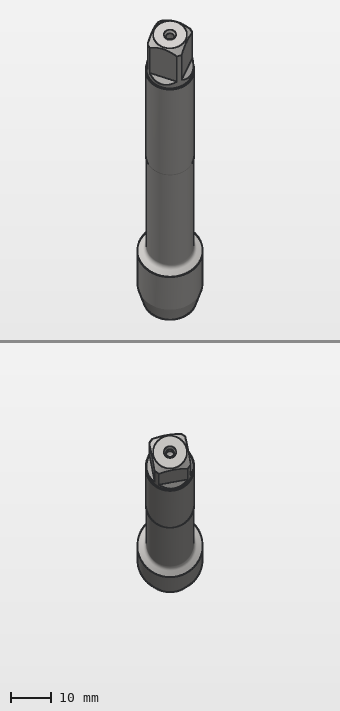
import cadquery as cq
import math

total_length = 110.0

head_diameter = 16.04
head_length = 20.0
lead_length = 6.5
lead_end_diameter = 13.3
tip_chamfer = 0.4

shank_diameter = 12.0
neck_diameter = 11.7
drive_diameter = 11.52
shank_bottom = total_length - 50.0
shank_top = total_length - 14.7
neck_taper_height = 0.55

collar_lip_height = 0.3
collar_cone_angle = 30.0
collar_fillet_radius = 1.45

square_size = 9.0
square_length = 12.0
top_face_diameter = 8.3
top_chamfer_height = 1.56

center_hole_diameter = 2.0
center_mouth_diameter = 3.0
center_hole_depth = 3.0
center_mouth_angle = 60.0
drill_point_angle = 120.0


def revolve_profile(points):
    """Revolve an (R, Z) outline that starts and ends on the Z axis."""
    return cq.Workplane("XZ").polyline(points).close().revolve(360, (0, 0), (0, 1))


def make_head():
    return revolve_profile([
        (0, 0),
        (lead_end_diameter / 2 - tip_chamfer, 0),
        (lead_end_diameter / 2, tip_chamfer),
        (head_diameter / 2, lead_length),
        (head_diameter / 2, head_length),
        (0, head_length),
    ])


def make_shank_blank():
    head_radius = head_diameter / 2
    neck_radius = neck_diameter / 2
    shank_radius = shank_diameter / 2
    drive_radius = drive_diameter / 2
    drive_step = shank_radius - drive_radius
    top_face_radius = top_face_diameter / 2

    slope = math.radians(collar_cone_angle)
    fillet_turn = math.pi / 2 - slope
    lip_top = head_length + collar_lip_height
    cone_top_radius = neck_radius + collar_fillet_radius * (1 - math.cos(fillet_turn))
    cone_top = lip_top + (head_radius - cone_top_radius) * math.tan(slope)
    fillet_top = cone_top + collar_fillet_radius * math.sin(fillet_turn)
    fillet_middle = (
        neck_radius + collar_fillet_radius * (1 - math.cos(fillet_turn / 2)),
        fillet_top - collar_fillet_radius * math.sin(fillet_turn / 2),
    )

    return (
        cq.Workplane("XZ")
        .moveTo(0, head_length)
        .lineTo(head_radius, head_length)
        .lineTo(head_radius, lip_top)
        .lineTo(cone_top_radius, cone_top)
        .threePointArc(fillet_middle, (neck_radius, fillet_top))
        .lineTo(neck_radius, shank_bottom - neck_taper_height)
        .lineTo(shank_radius, shank_bottom)
        .lineTo(shank_radius, shank_top)
        .lineTo(drive_radius, shank_top + drive_step)
        .lineTo(drive_radius, total_length - top_chamfer_height)
        .lineTo(top_face_radius, total_length)
        .lineTo(0, total_length)
        .close()
        .revolve(360, (0, 0), (0, 1))
    )


def make_flat_cutter():
    """Cutter for one side of the square, with a 45 degree run-out at its lower end."""
    inner = square_size / 2
    outer = shank_diameter
    flat_bottom = total_length - square_length
    return (
        cq.Workplane("XZ")
        .polyline([
            (inner, total_length),
            (inner, flat_bottom),
            (outer, flat_bottom - (outer - inner)),
            (outer, total_length),
        ])
        .close()
        .extrude(shank_diameter / 2, both=True)
    )


def make_center_hole():
    hole_radius = center_hole_diameter / 2
    mouth_radius = center_mouth_diameter / 2
    mouth_depth = (mouth_radius - hole_radius) / math.tan(math.radians(center_mouth_angle / 2))
    point_depth = hole_radius / math.tan(math.radians(drill_point_angle / 2))
    return revolve_profile([
        (0, total_length),
        (mouth_radius, total_length),
        (hole_radius, total_length - mouth_depth),
        (hole_radius, total_length - center_hole_depth),
        (0, total_length - center_hole_depth - point_depth),
    ])


def make_shank():
    body = make_shank_blank().cut(make_center_hole())
    cutter = make_flat_cutter()
    for side in range(4):
        body = body.cut(cutter.rotate((0, 0, 0), (0, 0, 1), 90 * side))
    return body


head = make_head()
shank = make_shank()
result = cq.Compound.makeCompound([head.val(), shank.val()])